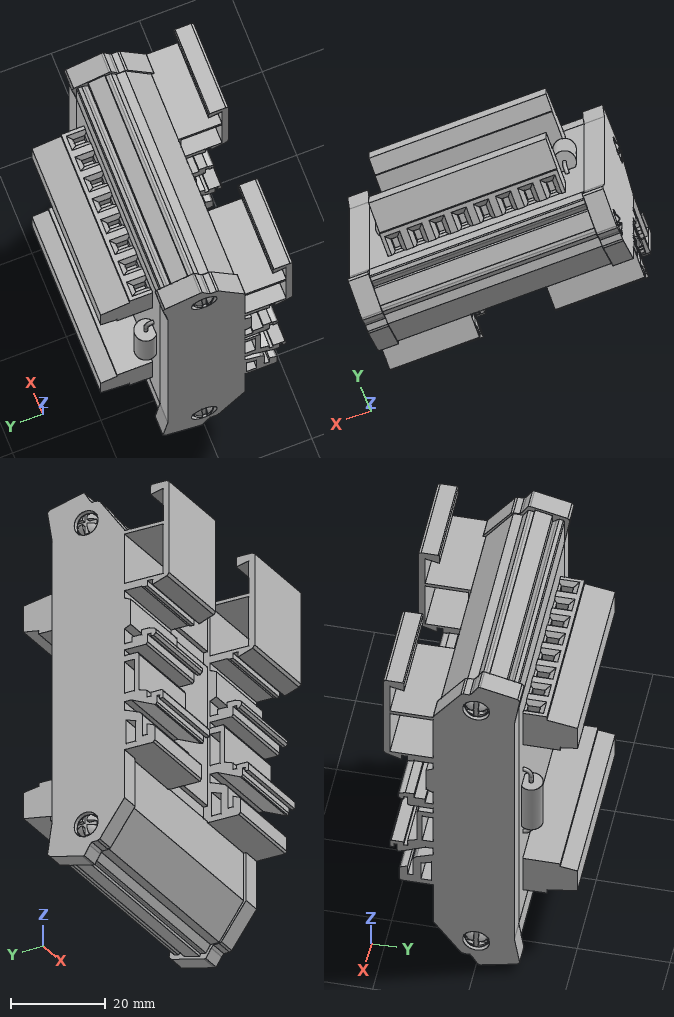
import cadquery as cq


carrier_width = 57.5
cap_thickness = 4.6
carrier_back = -17.55
profile_back = -16.9
profile_width = carrier_width - 2 * cap_thickness

groove_inner_z = 16.6
groove_outer_z = 20.3
groove_depth = 1.0

foot_width = 20.2
foot_front = -28.3
foot_top = 31.9
foot_bottom = -20.6

screw_y = -8.25
screw_z = 36.05
screw_hole_radius = 2.9
screw_hole_depth = 1.3
screw_head_radius = 2.6
screw_dome_radius = 2.95
screw_height = 0.75
screw_slot_width = 1.0
screw_slot_depth = 0.4

board_thickness = 1.6
board_length = 67.4

pole_count = 8
terminal_width = 40.0
pole_pitch = terminal_width / pole_count
terminal_tip = 11.8
terminal_outer_z = 27.6
terminal_inner_z = 17.8
opening_y = 1.8
funnel_mouth = (3.4, 4.95)
funnel_throat = (1.5, 2.6)
funnel_depth = 0.95
throat_depth = 2.6

diode_radius = 2.5
diode_length = 12.4
diode_y = 1.7
diode_x = (-20.4, 19.55)
lead_radius = 0.4
lead_straight = 1.7


def prism(points, x_start, width):
    """Solid with a (Y, Z) outline, extruded along +X from x_start."""
    return cq.Workplane("YZ", origin=(x_start, 0, 0)).polyline(points).close().extrude(width)


def block(x_range, y_range, z_range):
    """Box given by its limits along each axis."""
    size = [high - low for low, high in (x_range, y_range, z_range)]
    return cq.Workplane("XY").box(*size, centered=False).translate((x_range[0], y_range[0], z_range[0]))


def mirrored_in_z(half_outline):
    """Full outline from its upper half, listed from the +Y side to the -Y side."""
    return half_outline + [(y, -z) for y, z in reversed(half_outline)]


def make_profile():
    upper_half = [
        (0, 40.3),
        (-0.3, 40.65),
        (-1.1, 40.8),
        (-1.7, 40.4),
        (-2.6, 39.7),
        (-2.6, 41.6),
        (-6.3, 42.6),
        (-6.5, 42.0),
        (-7.2, 42.1),
        (-7.8, 42.1),
        (-8.95, 40.4),
        (-11.0, 40.4),
        (profile_back, 32.0),
    ]
    profile = prism(mirrored_in_z(upper_half), -profile_width / 2, profile_width)
    half = profile_width / 2
    for z_range in ((groove_inner_z, groove_outer_z), (-groove_outer_z, -groove_inner_z)):
        profile = profile.cut(block((-half, half), (profile_back, profile_back + groove_depth), z_range))
    return profile


def make_cap(x_start):
    upper_half = [
        (0, 33.7),
        (1.1, 40.8),
        (0.7, 41.4),
        (-7.4, 43.4),
        (-7.8, 43.4),
        (-9.1, 41.3),
        (-9.6, 40.65),
        (-11.0, 40.65),
        (-11.55, 40.4),
        (carrier_back, 32.05),
    ]
    return prism(mirrored_in_z(upper_half), x_start, cap_thickness)


def make_foot(x_start):
    plate = [
        (profile_back, foot_top),
        (carrier_back, foot_top),
        (carrier_back, foot_bottom),
        (profile_back, foot_bottom),
    ]
    ribs = [
        [
            (profile_back + groove_depth, sign * groove_inner_z),
            (carrier_back, sign * groove_inner_z),
            (carrier_back, sign * groove_outer_z),
            (profile_back + groove_depth, sign * groove_outer_z),
        ]
        for sign in (1, -1)
    ]
    rail_hook = [
        (profile_back, foot_top),
        (-26.8, foot_top),
        (-26.8, 39.5),
        (-23.8, 38.8),
        (-23.8, 41.0),
        (-24.1, 41.3),
        (-27.7, 41.3),
        (foot_front, 40.9),
        (foot_front, 19.0),
        (-27.8, 18.4),
        (-24.3, 17.2),
        (-24.3, 18.4),
        (-23.1, 18.4),
        (-23.1, 17.2),
        (-22.3, 17.2),
        (-21.6, 17.5),
        (profile_back, 17.5),
    ]
    hook_window = [(carrier_back, 31.0), (-26.8, 31.0), (-26.8, 19.2), (carrier_back, 19.2)]
    rail_stop = [
        (profile_back, 16.0),
        (carrier_back, 15.7),
        (-19.0, 15.0),
        (-19.0, 9.0),
        (carrier_back, 8.3),
        (profile_back, 8.3),
    ]
    upper_clip = [
        (profile_back, 4.8),
        (-19.3, 4.8),
        (-19.3, 5.9),
        (-21.6, 5.9),
        (-21.6, 7.0),
        (-23.5, 7.0),
        (-24.8, 6.6),
        (-25.1, 6.3),
        (-25.1, 5.6),
        (-24.6, 4.95),
        (-23.9, 4.95),
        (-23.9, 5.65),
        (-23.1, 5.65),
        (-23.1, 3.8),
        (-22.8, 3.3),
        (profile_back, 3.3),
    ]
    middle_clip = [
        (profile_back, 1.9),
        (-20.8, 1.9),
        (-21.0, 1.4),
        (-21.0, -7.1),
        (-23.0, -7.8),
        (-23.0, -9.4),
        (-23.9, -9.4),
        (-23.9, -8.5),
        (-26.6, -8.5),
        (-26.8, -8.9),
        (-26.8, -10.5),
        (-26.0, -10.5),
        (-26.0, -9.6),
        (-25.4, -9.6),
        (-25.4, -11.1),
        (-25.2, -11.6),
        (-24.85, -11.6),
        (-19.2, -9.1),
        (profile_back, -9.1),
    ]
    middle_window = [(carrier_back, 0.4), (-19.9, 0.4), (-19.9, -7.0), (carrier_back, -7.0)]
    lower_clip = [
        (profile_back, -10.95),
        (carrier_back, -11.1),
        (-21.1, -12.5),
        (-21.55, -12.9),
        (-21.9, -13.3),
        (-21.9, -18.3),
        (-23.0, -18.3),
        (-23.0, -15.8),
        (-24.5, -16.4),
        (-24.85, -16.7),
        (-24.85, -20.1),
        (-24.5, foot_bottom),
        (profile_back, foot_bottom),
    ]
    lower_window = [(-17.9, -13.55), (-20.15, -14.3), (-20.15, -19.2), (-17.9, -19.2)]

    foot = prism(plate, x_start, foot_width)
    for outline in (*ribs, rail_hook, rail_stop, upper_clip, middle_clip, lower_clip):
        foot = foot.union(prism(outline, x_start, foot_width))
    for outline in (hook_window, middle_window, lower_window):
        foot = foot.cut(prism(outline, x_start, foot_width))
    return foot


def make_screw_hole():
    """Counterbore in the end cap face, pointing along +X from the origin."""
    return cq.Workplane("YZ").circle(screw_hole_radius).extrude(screw_hole_depth)


def make_screw_head():
    """Domed cross-slot head; X = 0 is the end cap face and the dome points along -X."""
    dome = cq.Workplane("XY").sphere(screw_dome_radius).translate((screw_dome_radius - screw_height, 0, 0))
    head = (
        cq.Workplane("YZ", origin=(-screw_height, 0, 0))
        .circle(screw_head_radius)
        .extrude(screw_height + screw_hole_depth)
        .intersect(dome)
    )
    slot_span = (-screw_head_radius, screw_head_radius)
    slot_gap = (-screw_slot_width / 2, screw_slot_width / 2)
    slot_x = (-screw_height, screw_slot_depth)
    return head.cut(block(slot_x, slot_span, slot_gap)).cut(block(slot_x, slot_gap, slot_span))


def make_carrier():
    half = carrier_width / 2
    carrier = make_profile()
    for x_start in (-half, half - cap_thickness):
        carrier = carrier.union(make_cap(x_start))
    for x_start in (-half, half - foot_width):
        carrier = carrier.union(make_foot(x_start))
    carrier = carrier.cut(make_board())
    hole = make_screw_hole().translate((-half, screw_y, 0))
    head = make_screw_head().translate((-half, screw_y, 0))
    for z in (screw_z, -screw_z):
        left_hole = hole.translate((0, 0, z))
        left_head = head.translate((0, 0, z))
        carrier = carrier.cut(left_hole).union(left_head)
        carrier = carrier.cut(left_hole.mirror("YZ")).union(left_head.mirror("YZ"))
    return carrier


def make_board():
    half_width = profile_width / 2
    half_length = board_length / 2
    return block((-half_width, half_width), (-board_thickness, 0), (-half_length, half_length))


def make_terminal_block():
    """Upper terminal block, with its wire openings facing +Z."""
    outline = [
        (0, terminal_outer_z),
        (5.2, terminal_outer_z),
        (5.2, 26.6),
        (terminal_tip, 25.45),
        (terminal_tip, 19.2),
        (8.1, 18.6),
        (8.1, terminal_inner_z),
        (0, terminal_inner_z),
    ]
    terminal = prism(outline, -terminal_width / 2, terminal_width)
    funnel = (
        cq.Workplane("XY", origin=(0, opening_y, terminal_outer_z))
        .rect(*funnel_mouth)
        .workplane(offset=-funnel_depth)
        .rect(*funnel_throat)
        .loft()
    )
    throat = (
        cq.Workplane("XY", origin=(0, opening_y, terminal_outer_z - funnel_depth))
        .rect(*funnel_throat)
        .extrude(-throat_depth)
    )
    opening = funnel.union(throat)
    for pole in range(pole_count):
        x = (pole - (pole_count - 1) / 2) * pole_pitch
        terminal = terminal.cut(opening.translate((x, 0, 0)))
    return terminal


def make_diode():
    """Axial diode along Z at X = 0, with both leads bent down into the board."""
    body = (
        cq.Workplane("XY", origin=(0, diode_y, -diode_length / 2))
        .circle(diode_radius)
        .extrude(diode_length)
    )
    bend_start = diode_length / 2 + lead_straight
    bend_radius = diode_y
    lead_path = (
        cq.Workplane("YZ")
        .moveTo(diode_y, 0)
        .lineTo(diode_y, bend_start)
        .radiusArc((0, bend_start + bend_radius), -bend_radius)
        .lineTo(-board_thickness / 2, bend_start + bend_radius)
    )
    lead = cq.Workplane("XY", origin=(0, diode_y, 0)).circle(lead_radius).sweep(lead_path)
    return body.union(lead).union(lead.mirror("XY"))


def make_board_assembly():
    terminal = make_terminal_block()
    assembly = make_board().union(terminal).union(terminal.mirror("XY"))
    diode = make_diode()
    for x in diode_x:
        assembly = assembly.union(diode.translate((x, 0, 0)))
    return assembly


carrier = make_carrier()
board_assembly = make_board_assembly()

result = cq.Compound.makeCompound([carrier.solids().val(), board_assembly.solids().val()])